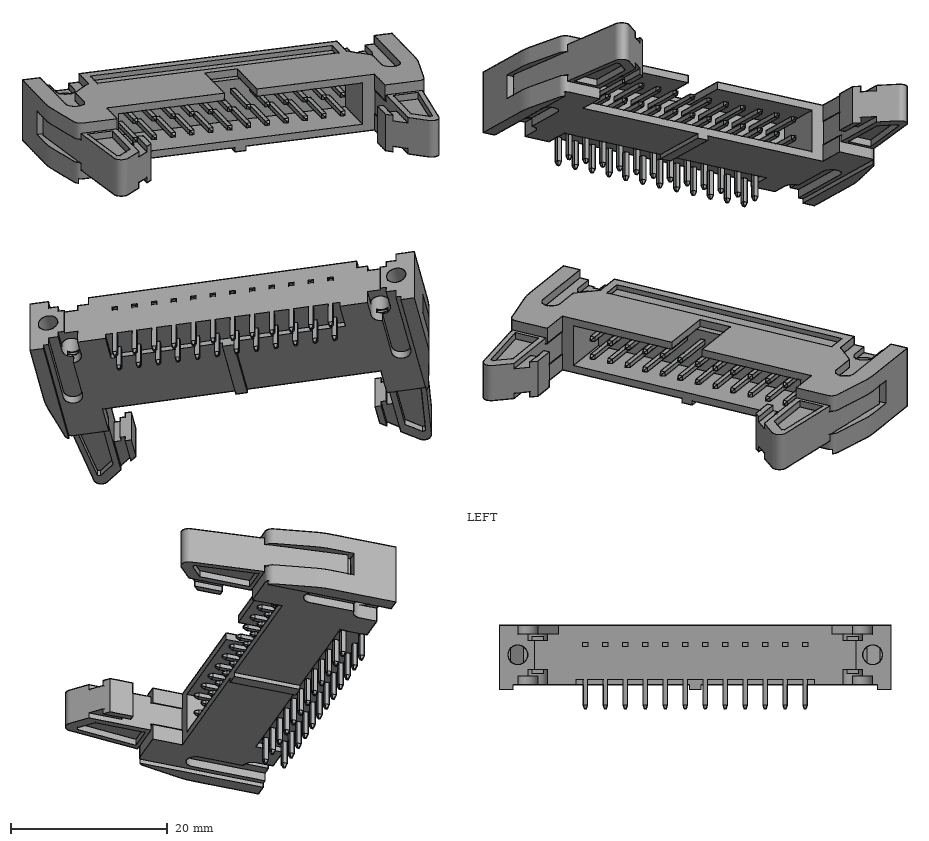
import cadquery as cq
import math


total_width = 50.0
half_width = total_width / 2
body_top = 8.25
belly_z = 0.6
pin_drop = 2.45

back_x = 0.3
back_step_y = 20.55
front_x = 12.95
arm_end_x = 17.0
arm_inner_y = 18.1
foot_inner_y = 23.25
shoulder_start_x = 9.0
shoulder_end = (10.9, 24.8)
arm_corner_y = 23.5
arm_corner_radius = 1.0

round_d = 2.5
round_r = round_d / 2
screw_x, screw_y = 2.65, 20.1
pivot_x, pivot_y = 9.9, 21.35
recess_depth = 1.15
recess_inner_y = 17.45
recess_ramp_x = (4.0, 6.45)
screw_slot_depth = 1.95
pivot_sink = 0.3
detent_width, detent_height, detent_end_x = 1.5, 0.5, 4.0
end_hole_y = 22.65

latch_mid_z = 4.45
tongue_height = 3.2
latch_height = 5.0
pocket_start_x = 5.7
tongue_start_x = 6.3
cam_start = (4.5, 21.95)
cam_end_y = 23.6
latch_x = 17.2
latch_outer_y = 23.1
latch_inner_y = 18.2
latch_nose = (28.75, 21.75)
nose_radius = 1.0
hook_tip = (23.65, 15.85)
hook_neck_x, hook_back_x = 21.2, 20.55
hook_back_y = 17.3
hook_lip_y = 16.65
hook_inset = 0.75
window_depth = 0.9
window_outline = [(17.7, 22.35), (26.05, 21.35), (26.2, 20.95), (24.5, 19.0), (17.7, 19.0)]

wall = 1.0
cavity_x = 6.3
cavity_half_y = 16.5
notch_x = 5.4
notch_width = 4.4
notch_step_depth = 1.0

groove_x = (1.6, 4.3)
groove_half_y = 16.35
groove_depth = 0.65

pin_columns = 12
pin_pitch = 2.55
pin_size = 0.6
pin_tip_size = 0.25
pin_tip_length = 0.5
pin_setback = 0.1
first_row_x = back_x + pin_size / 2
pin_row_x = (first_row_x, first_row_x + pin_pitch)
pin_row_z = (latch_mid_z + pin_pitch / 2, latch_mid_z - pin_pitch / 2)
pin_rise = 2.0
pin_root = 1.0
pin_window_z = 5.75
pin_window_depth = 0.25
pin_window_width = 0.7
pin_window_height = 0.5

relief_x = 4.0
relief_half_y = 15.25
relief_depth = 0.7
tab_width = 1.5


def block(x0, x1, y0, y1, z0, z1):
    return cq.Workplane("XY").box(x1 - x0, y1 - y0, z1 - z0, centered=False).translate((x0, y0, z0))


def plate(points, z0, z1):
    return cq.Workplane("XY").workplane(offset=z0).polyline(points).close().extrude(z1 - z0)


def post(x, y, z0, z1):
    return cq.Workplane("XY").workplane(offset=z0).center(x, y).circle(round_r).extrude(z1 - z0)


def round_slot(x_end, y, z0, z1):
    """Slot open at the mounting face with a round closed end."""
    return block(0, x_end, y - round_r, y + round_r, z0, z1).union(post(x_end, y, z0, z1))


def both_ends(solid):
    return solid.union(solid.mirror("XZ"))


def latch_outer_at(x):
    slope = (latch_nose[1] - latch_outer_y) / (latch_nose[0] - latch_x)
    return latch_outer_y + slope * (x - latch_x)


def latch_ramp_at(y):
    slope = (latch_nose[0] - hook_tip[0]) / (latch_nose[1] - hook_tip[1])
    return hook_tip[0] + slope * (y - hook_tip[1])


tongue_z = (latch_mid_z - tongue_height / 2, latch_mid_z + tongue_height / 2)
latch_z = (latch_mid_z - latch_height / 2, latch_mid_z + latch_height / 2)


def end_block():
    """One end of the housing: foot, shoulder and arm."""
    outline = (
        cq.Workplane("XY")
        .moveTo(0, back_step_y)
        .lineTo(0, half_width)
        .lineTo(shoulder_start_x, half_width)
        .tangentArcPoint(shoulder_end, relative=False)
        .lineTo(arm_end_x, arm_corner_y)
        .lineTo(arm_end_x, arm_inner_y)
        .lineTo(back_x, arm_inner_y)
        .lineTo(back_x, back_step_y)
        .close()
        .extrude(body_top)
    )
    outline = outline.edges("|Z and >X").edges(">Y").fillet(arm_corner_radius)
    return outline.cut(block(0, arm_end_x, 0, foot_inner_y, 0, belly_z))


def end_cuts():
    """Recesses, screw hole, pivot and latch pocket in one end."""
    floor = body_top - recess_depth
    ceiling = belly_z + recess_depth
    screw_floor = body_top - screw_slot_depth
    screw_ceiling = belly_z + screw_slot_depth
    slot_inner_y = pivot_y - round_r
    top_recess = plate(
        [
            (0, slot_inner_y),
            (0, recess_inner_y),
            (recess_ramp_x[0], recess_inner_y),
            (recess_ramp_x[1], slot_inner_y),
        ],
        floor,
        body_top,
    )
    pocket = plate(
        [
            (pocket_start_x, half_width),
            (pocket_start_x, cam_end_y),
            (tongue_start_x, cam_end_y),
            (tongue_start_x, latch_outer_at(tongue_start_x)),
            (arm_end_x, latch_outer_at(arm_end_x)),
            (arm_end_x, half_width),
        ],
        *tongue_z,
    )
    end_hole = (
        cq.Workplane("YZ").center(end_hole_y, latch_mid_z).circle(round_r).extrude(pocket_start_x)
    )
    cam = plate(
        [
            (cam_start[0], 0),
            cam_start,
            (pocket_start_x, cam_end_y),
            (pocket_start_x, 0),
        ],
        *tongue_z,
    )
    end_hole = end_hole.cut(cam)
    cuts = top_recess.union(round_slot(pivot_x, pivot_y, floor, body_top))
    cuts = cuts.union(post(pivot_x, pivot_y, floor - pivot_sink, floor))
    cuts = cuts.union(round_slot(pivot_x, pivot_y, belly_z, ceiling))
    cuts = cuts.union(round_slot(screw_x, screw_y, screw_floor, floor))
    cuts = cuts.union(round_slot(screw_x, screw_y, belly_z, screw_ceiling))
    cuts = cuts.union(post(screw_x, screw_y, belly_z, body_top))
    for z in (screw_floor, screw_ceiling - detent_height):
        y0 = screw_y - detent_width / 2
        cuts = cuts.union(block(screw_x, detent_end_x, y0, y0 + detent_width, z, z + detent_height))
    cuts = cuts.union(pocket).union(end_hole)
    return cuts.union(block(front_x, arm_end_x, arm_inner_y, latch_inner_y, *tongue_z))


def latch():
    """Ejector latch outside the arm, with the tongue that enters it."""
    tongue = plate(
        [
            (front_x, latch_inner_y),
            (latch_x, latch_inner_y),
            (latch_x, latch_outer_y),
            (front_x, latch_outer_at(front_x)),
        ],
        *tongue_z,
    )
    lever = plate(
        [
            (latch_x, latch_inner_y),
            (latch_x, latch_outer_y),
            latch_nose,
            (latch_ramp_at(latch_inner_y), latch_inner_y),
        ],
        *latch_z,
    )
    lever = lever.edges("|Z and >X").fillet(nose_radius)
    hook = plate(
        [
            (hook_neck_x, latch_inner_y),
            (hook_neck_x, hook_back_y),
            (hook_back_x, hook_back_y),
            (hook_back_x, hook_lip_y),
            (latch_ramp_at(hook_lip_y), hook_lip_y),
            (latch_ramp_at(latch_inner_y), latch_inner_y),
        ],
        latch_z[0] + hook_inset,
        latch_z[1] - hook_inset,
    )
    lip = plate(
        [
            (hook_back_x, hook_lip_y),
            (hook_back_x, hook_tip[1]),
            hook_tip,
            (latch_ramp_at(hook_lip_y), hook_lip_y),
        ],
        *latch_z,
    )
    windows = plate(window_outline, latch_z[1] - window_depth, latch_z[1])
    windows = windows.union(plate(window_outline, latch_z[0], latch_z[0] + window_depth))
    return tongue.union(lever).union(hook).union(lip).cut(windows)


def housing():
    """Middle of the housing with cavity, key notch, groove and pin relief."""
    half_notch = notch_width / 2
    middle = block(back_x, front_x, -arm_inner_y, arm_inner_y, belly_z, body_top)
    middle = middle.union(block(relief_x, front_x, -tab_width / 2, tab_width / 2, 0, belly_z))
    middle = middle.union(both_ends(end_block()))
    cuts = [
        block(cavity_x, front_x, -cavity_half_y, cavity_half_y, belly_z + wall, body_top - wall),
        block(cavity_x, front_x, -half_notch, half_notch, body_top - wall, body_top),
        block(notch_x, cavity_x, -half_notch, half_notch, body_top - notch_step_depth, body_top),
        block(*groove_x, -groove_half_y, groove_half_y, body_top - groove_depth, body_top),
        block(back_x, relief_x, -relief_half_y, relief_half_y, belly_z, belly_z + relief_depth),
        both_ends(end_cuts()),
    ]
    for cut in cuts:
        middle = middle.cut(cut)
    return middle


def pin(length):
    """Square pin along +Z from the origin with a tapered tip."""
    shank = cq.Workplane("XY").rect(pin_size, pin_size).extrude(length - pin_tip_length)
    taper = math.degrees(math.atan((pin_size - pin_tip_size) / 2 / pin_tip_length))
    return shank.faces(">Z").workplane().rect(pin_size, pin_size).extrude(pin_tip_length, taper=taper)


def pin_column():
    """The two solder pins and two contact pins that share one Y position."""
    solder_pin = pin(pin_drop + pin_rise).rotate((0, 0, 0), (1, 0, 0), 180)
    contact_length = front_x - pin_setback - cavity_x + pin_root
    contact_pin = pin(contact_length).rotate((0, 0, 0), (0, 1, 0), 90)
    column = cq.Workplane("XY")
    for x in pin_row_x:
        column = column.add(solder_pin.translate((x, 0, pin_rise)))
    for z in pin_row_z:
        column = column.add(contact_pin.translate((cavity_x - pin_root, 0, z)))
    return column.combine()


def pin_window():
    """Shallow rectangular window in the back face behind a pin column."""
    half_wide = pin_window_width / 2
    half_high = pin_window_height / 2
    return block(
        back_x,
        back_x + pin_window_depth,
        -half_wide,
        half_wide,
        pin_window_z - half_high,
        pin_window_z + half_high,
    )


result = housing().union(both_ends(latch()))

for index in range(pin_columns):
    shift = (0, (index - (pin_columns - 1) / 2) * pin_pitch, 0)
    result = result.cut(pin_window().translate(shift))
    result = result.union(pin_column().translate(shift))